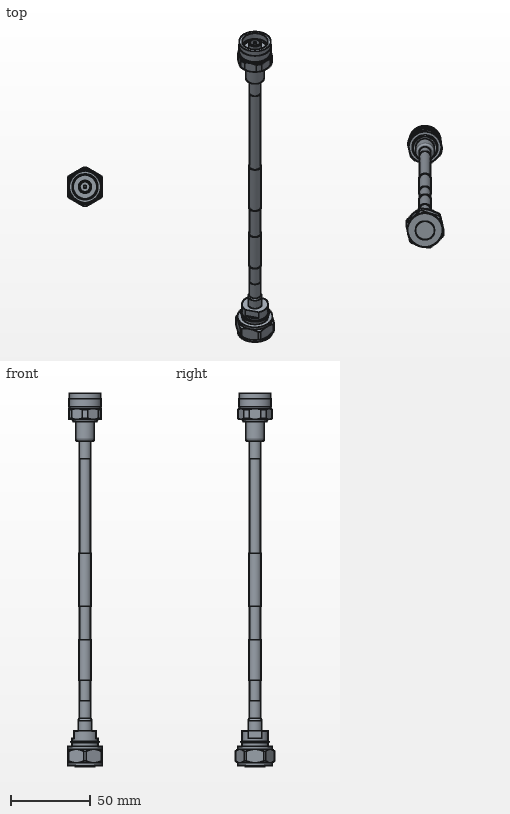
import cadquery as cq


total_height = 235.17
plug_top = 41.5
lower_band_bottom = 54.4
lower_band_top = 79.9
upper_band_bottom = 101.0
upper_band_top = 134.3
socket_bottom = 193.8

cable_diameter = 7.2
band_wall = 0.35
band_diameter = cable_diameter + 2 * band_wall
sleeve_diameter = 7.5

tip_diameter = 12.0
tip_height = 0.7
nut_diameter = 22.0
nut_corner_diameter = 24.62
nut_top = 12.75
nut_hex_bottom = 2.4
nut_hex_top = 10.9
nut_corner_slope = 0.9
plug_body_diameter = 16.5
plug_body_top = 22.5
ring_diameter = 17.7
ring_middle = 15.5
ring_half_height = 0.6
spanner_flat_width = 14.0
spanner_flat_bottom = 17.8
neck_diameter = 8.8
neck_top = 29.0
neck_taper_top = 30.3

shell_diameter = 20.3
rim_diameter = 20.0
rim_height = 3.6
socket_hex_width = 20.3
socket_corner_diameter = 21.6
socket_hex_top = total_height - 9.8
socket_hex_bottom = total_height - 16.6
socket_corner_bevel = (socket_corner_diameter - socket_hex_width) / 2
shell_groove_diameter = 19.6
shell_groove_height = 1.1
collar_top_diameter = 16.2
collar_bottom_diameter = 14.8
collar_bottom = total_height - 18.0
barrel_diameter = 11.9
barrel_bottom = total_height - 30.4
barrel_fillet = 1.5
bore_diameter = 16.2
bore_depth = 5.4
bore_floor_diameter = 15.0
bore_straight_depth = 4.4
contact_outer_diameter = 8.0
contact_inner_diameter = 6.4
contact_recess = 1.0
pin_diameter = 1.8


def cylinder(diameter, bottom, top):
    return cq.Workplane("XY").workplane(offset=bottom).circle(diameter / 2).extrude(top - bottom)


def tube(outer_diameter, inner_diameter, bottom, top):
    return cylinder(outer_diameter, bottom, top).cut(cylinder(inner_diameter, bottom, top))


def turned(points):
    """Revolve (radius, height) points about the cable axis."""
    return cq.Workplane("XZ").polyline(points).close().revolve(360, (0, 0), (0, 1))


def hexagon(width_across_flats, bottom, top):
    """Hexagonal prism with flats facing +X and -X."""
    prism = cq.Workplane("XY").workplane(offset=bottom)
    return prism.polygon(6, width_across_flats, circumscribed=True).extrude(top - bottom)


def make_coupling_nut():
    round_radius = nut_diameter / 2
    corner_radius = nut_corner_diameter / 2
    bevel_height = (corner_radius - round_radius) * nut_corner_slope
    envelope = turned([
        (0, nut_hex_bottom),
        (round_radius, nut_hex_bottom),
        (corner_radius, nut_hex_bottom + bevel_height),
        (corner_radius, nut_hex_top - bevel_height),
        (round_radius, nut_hex_top),
        (0, nut_hex_top),
    ])
    hex_part = hexagon(nut_diameter, nut_hex_bottom, nut_hex_top).intersect(envelope)
    return cylinder(nut_diameter, tip_height, nut_top).union(hex_part)


def make_plug_body():
    body_radius = plug_body_diameter / 2
    neck_radius = neck_diameter / 2
    sleeve_radius = sleeve_diameter / 2
    body = turned([
        (0, 0),
        (tip_diameter / 2, 0),
        (tip_diameter / 2, nut_top),
        (body_radius, nut_top),
        (body_radius, ring_middle - ring_half_height),
        (ring_diameter / 2, ring_middle),
        (body_radius, ring_middle + ring_half_height),
        (body_radius, plug_body_top),
        (neck_radius, plug_body_top),
        (neck_radius, neck_top),
        (sleeve_radius, neck_taper_top),
        (sleeve_radius, plug_top),
        (0, plug_top),
    ])
    flat_height = plug_body_top - spanner_flat_bottom
    across_flats = cq.Workplane("XY").workplane(offset=spanner_flat_bottom)
    across_flats = across_flats.rect(spanner_flat_width, plug_body_diameter).extrude(flat_height)
    flat_waste = cylinder(plug_body_diameter, spanner_flat_bottom, plug_body_top).cut(across_flats)
    return body.cut(flat_waste)


def make_plug():
    return make_plug_body().union(make_coupling_nut())


def make_socket_hex():
    envelope = cylinder(socket_corner_diameter, socket_hex_bottom, socket_hex_top)
    envelope = envelope.edges().chamfer(socket_corner_bevel)
    return hexagon(socket_hex_width, socket_hex_bottom, socket_hex_top).intersect(envelope)


def make_socket_shell():
    sleeve_radius = sleeve_diameter / 2
    shell_radius = shell_diameter / 2
    groove_radius = shell_groove_diameter / 2
    groove_top = socket_hex_top + shell_groove_height
    rim_radius = rim_diameter / 2
    rim_bottom = total_height - rim_height
    shell = turned([
        (0, socket_bottom),
        (sleeve_radius, socket_bottom),
        (sleeve_radius, collar_bottom),
        (collar_bottom_diameter / 2, collar_bottom),
        (collar_top_diameter / 2, socket_hex_bottom),
        (groove_radius, socket_hex_bottom),
        (groove_radius, groove_top),
        (shell_radius, groove_top),
        (shell_radius, rim_bottom),
        (rim_radius, rim_bottom),
        (rim_radius, total_height),
        (0, total_height),
    ])
    barrel = cylinder(barrel_diameter, barrel_bottom, collar_bottom)
    barrel = barrel.faces("<Z").edges().fillet(barrel_fillet)
    return shell.union(barrel).union(make_socket_hex())


def make_socket():
    bore_radius = bore_diameter / 2
    bore_floor = total_height - bore_depth
    contact_top = total_height - contact_recess
    bore = turned([
        (0, bore_floor),
        (bore_floor_diameter / 2, bore_floor),
        (bore_radius, total_height - bore_straight_depth),
        (bore_radius, total_height),
        (0, total_height),
    ])
    contact = tube(contact_outer_diameter, contact_inner_diameter, bore_floor, contact_top)
    pin = cylinder(pin_diameter, bore_floor, contact_top)
    return make_socket_shell().cut(bore).union(contact).union(pin)


def make_marker_band(bottom, top):
    return tube(band_diameter, cable_diameter, bottom, top)


cable = cylinder(cable_diameter, plug_top, socket_bottom)
plug = make_plug()
socket = make_socket()
marker_bands = [
    make_marker_band(bottom, top)
    for bottom, top in [(lower_band_bottom, lower_band_top), (upper_band_bottom, upper_band_top)]
]

result = cq.Compound.makeCompound(
    [cable.val(), plug.val(), socket.val(), *[band.val() for band in marker_bands]]
)